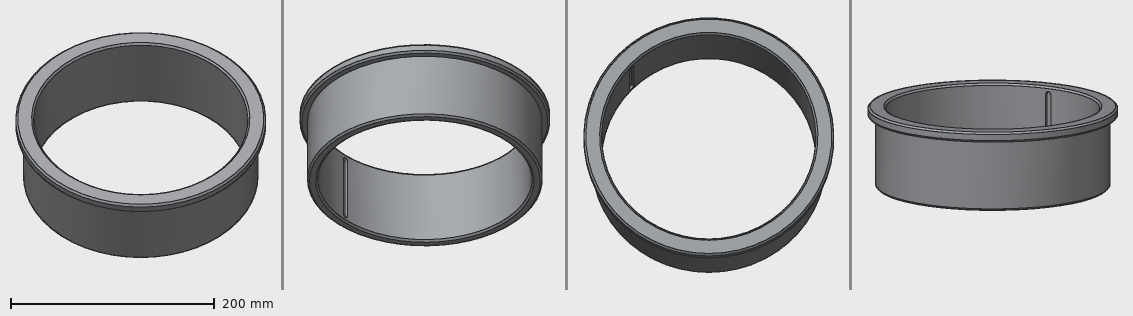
import cadquery as cq

flange_diameter = 245.0
body_diameter = 230.0
bore_diameter = 210.0
height = 80.0
flange_thickness = 10.0
edge_chamfer = 2.0

groove_width = 6.0
groove_depth = 3.0
groove_length = 70.0


def flanged_ring():
    """Revolve the wall section, with its chamfered corners, about Z."""
    flange_radius = flange_diameter / 2
    body_radius = body_diameter / 2
    bore_radius = bore_diameter / 2
    flange_underside = height - flange_thickness
    section = [
        (bore_radius, edge_chamfer),
        (bore_radius + edge_chamfer, 0),
        (body_radius - edge_chamfer, 0),
        (body_radius, edge_chamfer),
        (body_radius, flange_underside),
        (flange_radius - edge_chamfer, flange_underside),
        (flange_radius, flange_underside + edge_chamfer),
        (flange_radius, height - edge_chamfer),
        (flange_radius - edge_chamfer, height),
        (bore_radius + edge_chamfer, height),
        (bore_radius, height - edge_chamfer),
    ]
    return cq.Workplane("XZ").polyline(section).close().revolve(360, (0, 0), (0, 1))


def bore_groove():
    """Vertical slot cutter reaching from the axis into the bore wall."""
    return (
        cq.Workplane("YZ")
        .center(0, height / 2)
        .slot2D(groove_length, groove_width, 90)
        .extrude(bore_diameter / 2 + groove_depth)
    )


result = flanged_ring().cut(bore_groove())